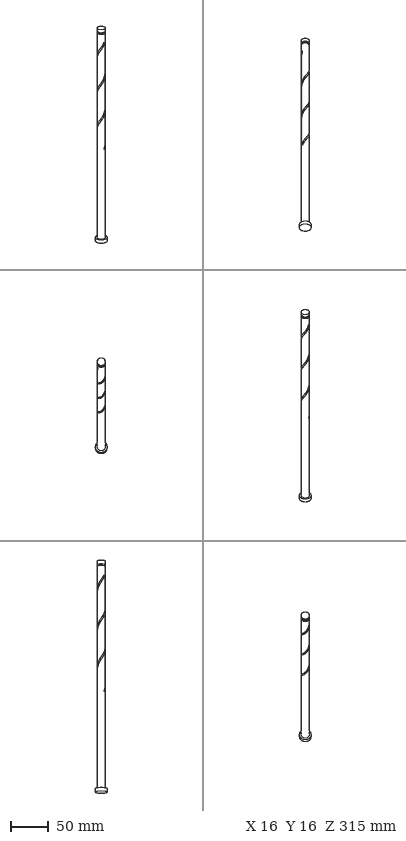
import cadquery as cq
import math

total_length = 315.0
head_diameter = 16.0
head_height = 5.0
shaft_radius = 11.0 / 2

tip_length = 5.0
ring_groove_width = 2.0
ring_groove_depth = 1.0

helix_pitch = 52.6
helix_turns = 3
helix_end_from_tip = 20.25
helix_groove_radius = 1.0

helix_height = helix_pitch * helix_turns
helix_start_z = total_length - helix_end_from_tip - helix_height
helix_angle = math.atan2(helix_pitch, 2 * math.pi * shaft_radius)


def make_pin():
    """Round shaft standing on a wider flat head."""
    head = cq.Workplane("XY").circle(head_diameter / 2).extrude(head_height)
    shaft = cq.Workplane("XY").circle(shaft_radius).extrude(total_length)
    return head.union(shaft)


def make_ring_groove():
    """Square-sided ring to be cut around the shaft near its tip."""
    groove_bottom_z = total_length - tip_length - ring_groove_width
    return (
        cq.Workplane("XY", origin=(0, 0, groove_bottom_z))
        .circle(shaft_radius + ring_groove_depth)
        .circle(shaft_radius - ring_groove_depth)
        .extrude(ring_groove_width)
    )


def make_helical_groove():
    """Round bar wound around the shaft, its centre line lying on the shaft surface."""
    path = cq.Wire.makeHelix(helix_pitch, helix_height, shaft_radius)
    start_direction = (0, math.cos(helix_angle), math.sin(helix_angle))
    profile_plane = cq.Plane(origin=(shaft_radius, 0, 0), xDir=(1, 0, 0), normal=start_direction)
    return (
        cq.Workplane(profile_plane)
        .circle(helix_groove_radius)
        .sweep(cq.Workplane(path), isFrenet=True)
        .translate((0, 0, helix_start_z))
    )


result = make_pin().cut(make_ring_groove()).cut(make_helical_groove())